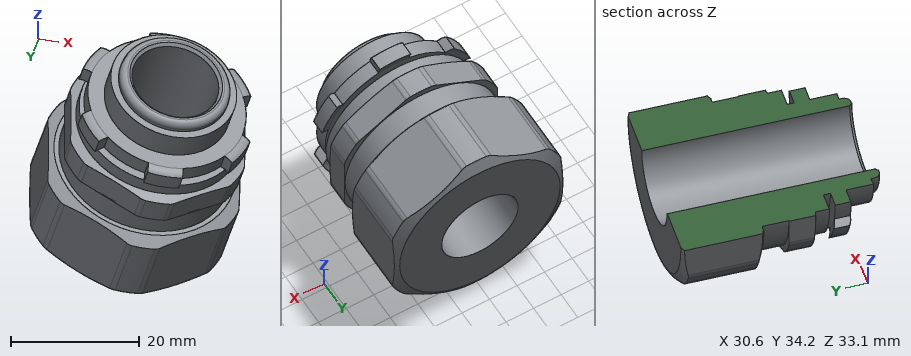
import cadquery as cq
import math


spout_step_y = 1.6
ring_front_y = 6.02
ring_rear_y = 8.62
flange_front_y = 9.68
body_hex_front_y = 11.95
body_hex_rear_y = 16.45
nut_front_y = 20.73
nut_rear_y = 34.2

bore_diameter = 13.9
spout_diameter = 17.7
neck_diameter = 20.15
ring_diameter = 25.38
flange_diameter = 26.4
body_diameter = 27.6

spout_round = 1.1
bore_chamfer = 0.48

nut_flats = 30.6
nut_corner_diameter = 33.05
nut_chamfer_length = 1.05
nut_chamfer_depth = 1.95
body_hex_flats = 27.85
body_hex_corner_diameter = 29.8
body_hex_chamfer_length = 0.4
body_hex_chamfer_depth = (body_hex_corner_diameter - flange_diameter) / 2
corner_blend_radius = 2.22

tab_count = 6
tab_width = 5.57
tab_outer_diameter = 28.4
tab_bend = 0.48
tab_root_overlap = 0.35
tab_twist = 0.9


def cylinder(diameter, start_y, end_y):
    """Solid cylinder on the Y axis between two stations."""
    plane = cq.Workplane("XZ", origin=(0, start_y, 0))
    return plane.circle(diameter / 2).extrude(start_y - end_y)


def revolve_about_y(points):
    """Turn a closed (radius, y) outline fully around the Y axis."""
    return cq.Workplane("XY").polyline(points).close().revolve(360, (0, 0), (0, 1))


def turned_hexagon(flats, corner_diameter, start_y, end_y, front_chamfer, rear_chamfer):
    """Hexagon with corners on +-Z, turned round and blended; chamfers are (length, depth) or None."""
    corner_radius = corner_diameter / 2
    point_diameter = flats / math.cos(math.pi / 6)
    plane = cq.Workplane("XZ", origin=(0, start_y, 0)).transformed(rotate=(0, 0, 90))
    hexagon = plane.polygon(6, point_diameter).extrude(start_y - end_y)
    rounded = hexagon.intersect(cylinder(corner_diameter, start_y, end_y))
    rounded = rounded.edges("|Y").fillet(corner_blend_radius)

    outline = [(0, start_y)]
    if front_chamfer:
        length, depth = front_chamfer
        outline += [(corner_radius - depth, start_y), (corner_radius, start_y + length)]
    else:
        outline.append((corner_radius, start_y))
    if rear_chamfer:
        length, depth = rear_chamfer
        outline += [(corner_radius, end_y - length), (corner_radius - depth, end_y)]
    else:
        outline.append((corner_radius, end_y))
    outline.append((0, end_y))
    return rounded.intersect(revolve_about_y(outline))


def lock_ring_tabs():
    """Evenly spaced tabs, bent rearward as they stand out from the lock ring."""
    root_radius = neck_diameter / 2 - tab_root_overlap
    ring_radius = ring_diameter / 2
    outer_radius = tab_outer_diameter / 2
    front_tip = (outer_radius, ring_front_y + tab_bend)
    rear_tip = (outer_radius, ring_rear_y + tab_bend)

    tab_reach = outer_radius - ring_radius
    bend_radius = (tab_reach**2 + tab_bend**2) / (2 * tab_bend)
    half_bend_angle = math.atan2(tab_bend, tab_reach)
    mid_radius = ring_radius + bend_radius * math.sin(half_bend_angle)
    mid_bend = bend_radius * (1 - math.cos(half_bend_angle))

    profile = (
        cq.Workplane("XY")
        .moveTo(root_radius, ring_front_y)
        .lineTo(ring_radius, ring_front_y)
        .threePointArc((mid_radius, ring_front_y + mid_bend), front_tip)
        .lineTo(*rear_tip)
        .threePointArc((mid_radius, ring_rear_y + mid_bend), (ring_radius, ring_rear_y))
        .lineTo(root_radius, ring_rear_y)
        .close()
    )
    band = profile.revolve(360, (0, 0), (0, 1))
    sector = cq.Workplane("XY").box(
        tab_width, nut_rear_y, outer_radius, centered=(True, False, False)
    )
    tab = band.intersect(sector)
    tabs = cq.Workplane("XY")
    for index in range(tab_count):
        angle = tab_twist + index * 360 / tab_count
        tabs = tabs.add(tab.rotate((0, 0, 0), (0, 1, 0), angle))
    return tabs.combine()


spout = cylinder(spout_diameter, 0, spout_step_y).faces("<Y").edges().fillet(spout_round)
neck = cylinder(neck_diameter, spout_step_y, flange_front_y)
lock_ring = cylinder(ring_diameter, ring_front_y, ring_rear_y)
flange = cylinder(flange_diameter, flange_front_y, body_hex_front_y)
body = cylinder(body_diameter, body_hex_rear_y, nut_front_y)

body_hex = turned_hexagon(
    body_hex_flats, body_hex_corner_diameter, body_hex_front_y, body_hex_rear_y,
    (body_hex_chamfer_length, body_hex_chamfer_depth), None,
)
nut_chamfer = (nut_chamfer_length, nut_chamfer_depth)
nut = turned_hexagon(
    nut_flats, nut_corner_diameter, nut_front_y, nut_rear_y, nut_chamfer, nut_chamfer
)

bore = cylinder(bore_diameter, 0, nut_rear_y)
mouth = revolve_about_y([
    (0, 0),
    (bore_diameter / 2 + bore_chamfer, 0),
    (bore_diameter / 2, bore_chamfer),
    (0, bore_chamfer),
])

result = spout
for section in (neck, lock_ring, lock_ring_tabs(), flange, body_hex, body, nut):
    result = result.union(section)
result = result.cut(bore).cut(mouth)